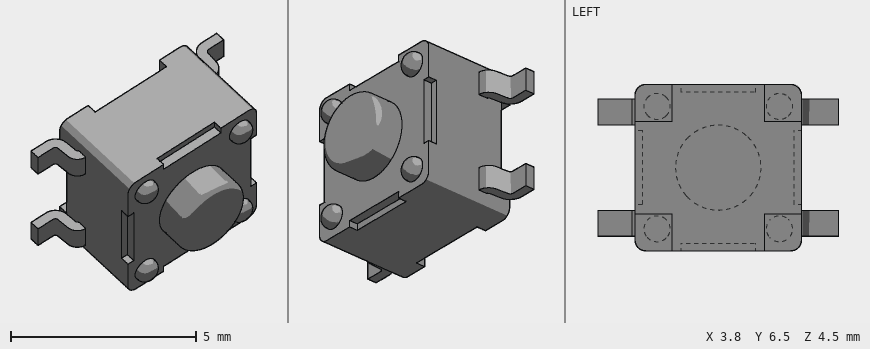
import cadquery as cq
import math

side = 4.5
half_side = side / 2
corner_radius = 0.3
foot_height = 0.3
foot_size = 1.0
housing_front = 2.625

cover_front = 2.9
recess_length = 2.0
recess_depth = 0.2

button_diameter = 2.3
button_front = 3.8
button_fillet = 0.2

rivet_diameter = 0.7
rivet_front = 3.2
rivet_fillet = 0.25
rivet_offset = 1.65

lead_width = 0.7
lead_thickness = 0.3
lead_tip = 3.25
lead_offset = 1.5
lead_pad_length = 0.525
lead_reach = 1.105
lead_slope = math.radians(4)
tip_bend_inner = 0.1
root_bend_inner = 0.05
lead_embed = 0.13


def block(x_start, x_end, width, height):
    """Box between two X positions, centred on the X axis."""
    return cq.Workplane("YZ").workplane(offset=x_start).rect(width, height).extrude(x_end - x_start)


def round_peg(x_end, diameter, fillet, positions):
    """Cylinders rising from the housing through the cover plate, rounded at the outer end."""
    rise = x_end - housing_front
    pegs = cq.Workplane("YZ").workplane(offset=housing_front).pushPoints(positions)
    return pegs.circle(diameter / 2).extrude(rise).faces(">X").edges().fillet(fillet)


def make_housing():
    """Block and cover plate with the corner feet and side recesses cut out."""
    body = block(0, cover_front, side, side).edges("|X").fillet(corner_radius)
    foot_gap = side - 2 * foot_size
    body = body.cut(block(0, foot_height, foot_gap, side))
    body = body.cut(block(0, foot_height, side, foot_gap))

    for turn in range(4):
        recess = block(housing_front, cover_front, recess_length, 2 * recess_depth)
        recess = recess.translate((0, 0, half_side))
        body = body.cut(recess.rotate((0, 0, 0), (1, 0, 0), 90 * turn))
    return body


def make_lead():
    """S-bent strip on the +Y side, extruded to the lead width."""
    tip_bend_outer = tip_bend_inner + lead_thickness
    root_bend_outer = root_bend_inner + lead_thickness
    tip_x = tip_bend_outer
    tip_y = lead_tip - lead_pad_length
    root_x = lead_reach - root_bend_outer

    bend_sum = tip_bend_inner + root_bend_outer
    slope_run = root_x - tip_x + bend_sum * math.sin(lead_slope)
    root_y = tip_y - slope_run * math.tan(lead_slope) - bend_sum * math.cos(lead_slope)
    root_end = half_side - lead_embed

    def tip_point(radius, angle):
        return (tip_x - radius * math.sin(angle), tip_y - radius * math.cos(angle))

    def root_point(radius, angle):
        return (root_x + radius * math.sin(angle), root_y + radius * math.cos(angle))

    quarter = math.pi / 2
    middle = (lead_slope + quarter) / 2
    profile = (
        cq.Workplane("XY")
        .moveTo(0, lead_tip)
        .lineTo(*tip_point(tip_bend_outer, quarter))
        .threePointArc(tip_point(tip_bend_outer, middle), tip_point(tip_bend_outer, lead_slope))
        .lineTo(*root_point(root_bend_inner, lead_slope))
        .threePointArc(root_point(root_bend_inner, middle), root_point(root_bend_inner, quarter))
        .lineTo(root_x + root_bend_inner, root_end)
        .lineTo(lead_reach, root_end)
        .lineTo(*root_point(root_bend_outer, quarter))
        .threePointArc(root_point(root_bend_outer, middle), root_point(root_bend_outer, lead_slope))
        .lineTo(*tip_point(tip_bend_inner, lead_slope))
        .threePointArc(tip_point(tip_bend_inner, middle), tip_point(tip_bend_inner, quarter))
        .lineTo(lead_thickness, lead_tip)
        .close()
    )
    return profile.extrude(lead_width / 2, both=True)


rivet_positions = [(y, z) for y in (-rivet_offset, rivet_offset) for z in (-rivet_offset, rivet_offset)]

result = make_housing()
result = result.union(round_peg(button_front, button_diameter, button_fillet, [(0, 0)]))
result = result.union(round_peg(rivet_front, rivet_diameter, rivet_fillet, rivet_positions))

for lead_z in (-lead_offset, lead_offset):
    lead = make_lead().translate((0, 0, lead_z))
    result = result.union(lead).union(lead.mirror("XZ"))